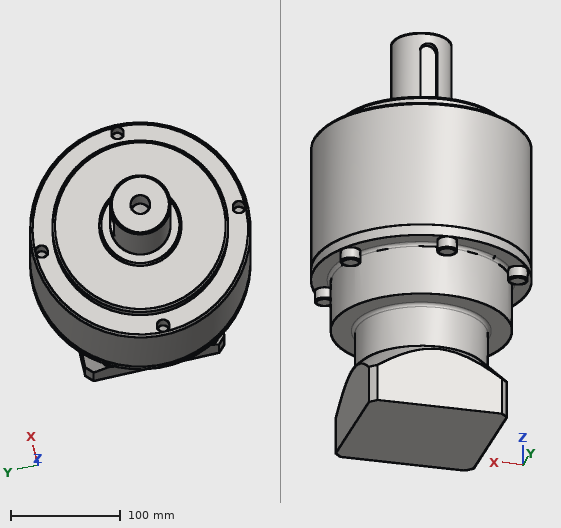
import cadquery as cq
import math

corner_z = 35.0
neck_bottom_z = 62.0
housing_bottom_z = 104.3
flange_bottom_z = 154.5
body_bottom_z = 165.0
body_top_z = 287.8
pilot_top_z = 303.0
collar_top_z = 305.8
shaft_top_z = 390.5

neck_diameter = 121.0
housing_diameter = 165.0
flange_diameter = 201.0
body_diameter = 200.7
pilot_diameter = 160.0
collar_diameter = 75.0
shaft_diameter = 55.0

body_chamfer = 2.5
pilot_chamfer = 2.5
collar_chamfer = 2.0
shaft_chamfer = 1.5
root_fillet = 3.0

adapter_width = 130.0

key_width = 16.0
key_length = 63.0
key_depth = 6.0

drill_tip_angle = 118.0
center_hole_diameter = 17.5
center_hole_depth = 35.0
mount_hole_diameter = 11.5
mount_hole_depth = 23.5
mount_circle_diameter = 184.5
mount_hole_count = 4

screw_diameter = 18.0
screw_height = 11.5
screw_chamfer = 1.0
screw_circle_diameter = 182.0
screw_count = 6


def cylinder(diameter, bottom_z, top_z):
    return cq.Workplane("XY").workplane(offset=bottom_z).circle(diameter / 2).extrude(top_z - bottom_z)


def chamfered_cylinder(diameter, bottom_z, top_z, chamfer):
    return cylinder(diameter, bottom_z, top_z).faces(">Z").edges().chamfer(chamfer)


def root_flare(diameter, top_z):
    """Ring that blends a cylinder into the face above it with a concave fillet."""
    radius = diameter / 2
    bottom_z = top_z - root_fillet
    outer_radius = radius + root_fillet
    arc_inset = root_fillet * math.sqrt(0.5)
    return (
        cq.Workplane("XZ")
        .moveTo(0, bottom_z)
        .lineTo(radius, bottom_z)
        .threePointArc((outer_radius - arc_inset, bottom_z + arc_inset), (outer_radius, top_z))
        .lineTo(0, top_z)
        .close()
        .revolve(360, (0, 0, 0), (0, 1, 0))
    )


def motor_adapter():
    """Square block trimmed by a 45 degree cone that starts at the neck."""
    neck_radius = neck_diameter / 2
    corner_radius = neck_radius + neck_bottom_z - corner_z
    block = cq.Workplane("XY").rect(adapter_width, adapter_width).extrude(neck_bottom_z)
    envelope = (
        cq.Workplane("XZ")
        .polyline([
            (0, 0),
            (corner_radius, 0),
            (corner_radius, corner_z),
            (neck_radius, neck_bottom_z),
            (0, neck_bottom_z),
        ])
        .close()
        .revolve(360, (0, 0, 0), (0, 1, 0))
    )
    return block.intersect(envelope)


def drilled_hole(diameter, top_z, depth):
    radius = diameter / 2
    tip_height = radius / math.tan(math.radians(drill_tip_angle / 2))
    return (
        cq.Workplane("XZ")
        .polyline([
            (0, top_z),
            (radius, top_z),
            (radius, top_z - depth),
            (0, top_z - depth - tip_height),
        ])
        .close()
        .revolve(360, (0, 0, 0), (0, 1, 0))
    )


def polar_copies(shape, circle_diameter, count):
    """Copies of a shape spaced evenly on a circle, the first one on +Y."""
    first = shape.translate((0, circle_diameter / 2, 0))
    return [first.rotate((0, 0, 0), (0, 0, 1), 360 * i / count) for i in range(count)]


def keyway():
    """Round-ended slot, cut from its flat floor out past the shaft surface."""
    floor_y = shaft_diameter / 2 - key_depth
    middle_z = (collar_top_z + shaft_top_z) / 2
    return (
        cq.Workplane("XZ", origin=(0, floor_y, middle_z))
        .slot2D(key_length, key_width, 90)
        .extrude(-2 * key_depth)
    )


result = motor_adapter()
result = result.union(cylinder(neck_diameter, neck_bottom_z, housing_bottom_z))
result = result.union(root_flare(neck_diameter, housing_bottom_z))
result = result.union(cylinder(housing_diameter, housing_bottom_z, flange_bottom_z))
result = result.union(root_flare(housing_diameter, flange_bottom_z))
result = result.union(cylinder(flange_diameter, flange_bottom_z, body_bottom_z))
result = result.union(chamfered_cylinder(body_diameter, body_bottom_z, body_top_z, body_chamfer))
result = result.union(chamfered_cylinder(pilot_diameter, body_top_z, pilot_top_z, pilot_chamfer))
result = result.union(chamfered_cylinder(collar_diameter, pilot_top_z, collar_top_z, collar_chamfer))
result = result.union(chamfered_cylinder(shaft_diameter, collar_top_z, shaft_top_z, shaft_chamfer))

screw_head = cylinder(screw_diameter, flange_bottom_z - screw_height, flange_bottom_z)
screw_head = screw_head.faces("<Z").edges().chamfer(screw_chamfer)
for screw in polar_copies(screw_head, screw_circle_diameter, screw_count):
    result = result.union(screw)

mount_hole = drilled_hole(mount_hole_diameter, body_top_z, mount_hole_depth)
for hole in polar_copies(mount_hole, mount_circle_diameter, mount_hole_count):
    result = result.cut(hole)
result = result.cut(drilled_hole(center_hole_diameter, shaft_top_z, center_hole_depth))
result = result.cut(keyway())